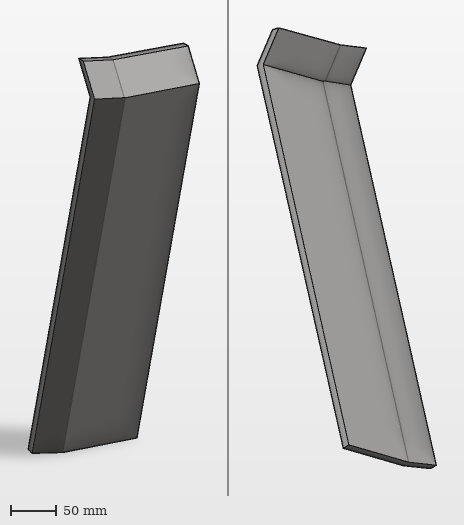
import cadquery as cq
import math

height = 516.0
depth = 125.5
reach = 1032.0

leg_lean = 14.75
leg_across = 9.0
foot_rise = 7.0
leg_inner_bend_y = 34.0
leg_outer_bend_y = 33.0
leg_bend_shift = 12.0
leg_back_shift = 20.5

lip_lean = 31.0
lip_across = 9.5
lip_tip_x = 101.0
lip_inner_bend_y = 31.0
lip_outer_bend_y = 32.0
lip_bend_shift = 10.0
lip_back_shift = 16.5

tip_bend_drop = 2.0
tip_back_drop = 5.0

leg_slope = math.tan(math.radians(leg_lean))
lip_slope = -math.tan(math.radians(lip_lean))


def volume_behind(front_x, front_z, slope, bend_y, bend_shift, back_shift):
    """Everything on the -X side of a creased, leaning surface."""
    base_x = front_x - front_z * slope
    section = cq.Wire.makePolygon(
        [
            cq.Vector(-reach, 0, 0),
            cq.Vector(base_x, 0, 0),
            cq.Vector(base_x + bend_shift, bend_y, 0),
            cq.Vector(base_x + back_shift, depth, 0),
            cq.Vector(-reach, depth, 0),
        ],
        close=True,
    )
    lean = cq.Vector(height * slope, 0, height)
    return cq.Workplane(cq.Solid.extrudeLinear(section, [], lean))


def leg_side(offset, bend_y):
    return volume_behind(offset, foot_rise, leg_slope, bend_y, leg_bend_shift, leg_back_shift)


def lip_side(offset, bend_y):
    return volume_behind(
        lip_tip_x + offset, height, lip_slope, bend_y, lip_bend_shift, lip_back_shift
    )


def end_trim():
    """Volume above the square-cut foot and below the sloping lip edge."""
    below_lip_edge = (
        cq.Workplane("YZ", origin=(-reach, 0, 0))
        .polyline(
            [
                (0, -reach),
                (0, height),
                (lip_outer_bend_y, height - tip_bend_drop),
                (depth, height - tip_back_drop),
                (depth, -reach),
            ]
        )
        .close()
        .extrude(2 * reach)
    )
    above_foot = (
        cq.Workplane("XY")
        .box(2 * reach, 2 * reach, reach, centered=(True, True, False))
        .rotate((0, 0, 0), (0, 1, 0), leg_lean)
        .translate((0, 0, foot_rise))
    )
    return below_lip_edge.intersect(above_foot)


outside = leg_side(leg_across, leg_outer_bend_y).intersect(lip_side(lip_across, lip_outer_bend_y))
inside = leg_side(0, leg_inner_bend_y).intersect(lip_side(0, lip_inner_bend_y))
result = outside.cut(inside).intersect(end_trim())